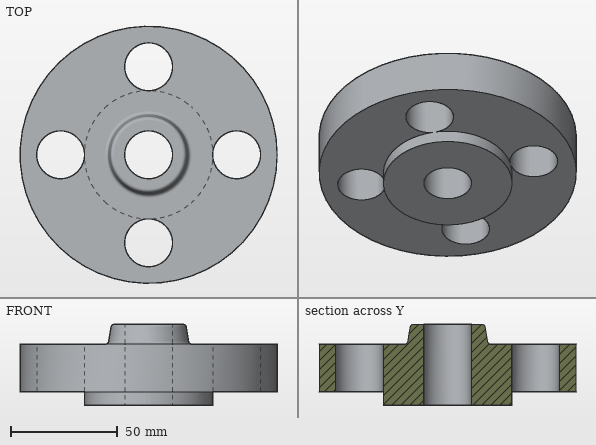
import cadquery as cq

flange_diameter = 120.65
flange_thickness = 22.35
raised_face_diameter = 60.3
raised_face_height = 6.35

total_height = 38.1
hub_height = total_height - flange_thickness - raised_face_height
hub_base_diameter = 38.1
hub_taper_degrees = 9.5
hub_edge_radius = 1.6

bore_diameter = 22.35
bolt_hole_diameter = 22.35
bolt_circle_diameter = 82.55
bolt_count = 4

flange_bottom = raised_face_height
flange_top = flange_bottom + flange_thickness


def cylinder(diameter, bottom, height):
    """Upright cylinder centred on the Z axis."""
    return cq.Workplane("XY").workplane(offset=bottom).circle(diameter / 2).extrude(height)


def make_flange_with_hub():
    """Flange disc carrying the tapered hub, with the hub's rim and root rounded."""
    hub = (
        cq.Workplane("XY")
        .workplane(offset=flange_top)
        .circle(hub_base_diameter / 2)
        .extrude(hub_height, taper=hub_taper_degrees)
    )
    body = cylinder(flange_diameter, flange_bottom, flange_thickness).union(hub)

    root_edge = cq.selectors.RadiusNthSelector(1)
    body = body.edges("%CIRCLE").edges(root_edge).fillet(hub_edge_radius)
    return body.faces(">Z").edges().fillet(hub_edge_radius)


def make_bore():
    """Straight bore through the whole part."""
    return cylinder(bore_diameter, 0, total_height)


def make_bolt_holes():
    """Ring of through holes, the first one on +X."""
    return (
        cq.Workplane("XY")
        .polarArray(bolt_circle_diameter / 2, 0, 360, bolt_count)
        .circle(bolt_hole_diameter / 2)
        .extrude(total_height)
    )


raised_face = cylinder(raised_face_diameter, 0, raised_face_height)
flange = make_flange_with_hub().union(raised_face)
result = flange.cut(make_bore()).cut(make_bolt_holes())